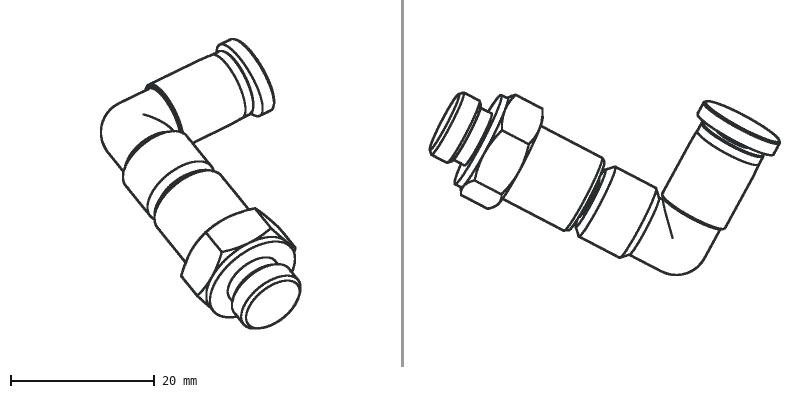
import cadquery as cq
import math


arm_dia = 9.0
collar_dia = 11.0
collar_start = 5.05
collar_end = 13.5
collar_chamfer = (collar_dia - arm_dia) / 2
stem_dia = 5.0
stem_end = 13.7

socket_dia = 10.0
socket_rim_dia = 9.7
socket_start = 5.0
socket_rim_height = 0.2
socket_straight_end = 13.4
socket_end = 15.4

guide_dia = 9.8
guide_end = 16.83
guide_chamfer = 0.13

button_neck_dia = 5.2
button_plate_start = 17.55
button_end = 19.6
button_length = 12.05
button_width = 9.8
button_chamfer = 0.2

boss_dia = 6.18
barrel_start = 14.2
barrel_dia = 11.5
barrel_chamfer_length = 0.55
barrel_nose_dia = 10.8
hex_start = 24.8
hex_end = 30.3
hex_flats = 14.0
hex_corners = hex_flats / math.cos(math.pi / 6)
hex_chamfer_angle = math.radians(30)
flange_end = 31.25
relief_dia = 8.2
relief_end = 33.15
thread_dia = 9.8
thread_end_dia = 8.8
thread_chamfer = (thread_dia - thread_end_dia) / 2
stud_end = 36.57


def turned_along_x(stations):
    """Solid of revolution about X from (x, diameter) stations."""
    profile = [(x, dia / 2) for x, dia in stations]
    points = [(profile[0][0], 0)] + profile + [(profile[-1][0], 0)]
    return cq.Workplane("XY").polyline(points).close().revolve(360, (0, 0, 0), (1, 0, 0))


def disc_along_y(dia, start, end):
    """Cylinder on the Y axis between two Y positions."""
    return cq.Workplane("XZ", origin=(0, start, 0)).circle(dia / 2).extrude(start - end)


def make_socket():
    """Tube socket with a chamfered lower rim and a gently curved taper at its mouth."""
    taper_middle = (socket_straight_end + socket_end) / 2
    taper_radius = socket_dia / 2 - (socket_dia - guide_dia) / 8
    return (
        cq.Workplane("XY")
        .moveTo(0, socket_start)
        .lineTo(socket_rim_dia / 2, socket_start)
        .lineTo(socket_dia / 2, socket_start + socket_rim_height)
        .lineTo(socket_dia / 2, socket_straight_end)
        .threePointArc((taper_radius, taper_middle), (guide_dia / 2, socket_end))
        .lineTo(0, socket_end)
        .close()
        .revolve(360, (0, 0, 0), (0, 1, 0))
    )


def make_elbow():
    """Two mitred arms round a ball corner, with the collar, stem and tube socket."""
    corner = cq.Workplane("XY").sphere(arm_dia / 2)
    socket_arm = disc_along_y(arm_dia, 0, socket_start)
    stud_arm = turned_along_x([
        (0, arm_dia),
        (collar_start, arm_dia),
        (collar_start + collar_chamfer, collar_dia),
        (collar_end - collar_chamfer, collar_dia),
        (collar_end, arm_dia),
        (collar_end, stem_dia),
        (stem_end, stem_dia),
    ])
    return corner.union(socket_arm).union(stud_arm).union(make_socket())


def make_guide_ring():
    ring = disc_along_y(guide_dia, socket_end, guide_end)
    return ring.faces(">Y").chamfer(guide_chamfer)


def make_release_button():
    neck = disc_along_y(button_neck_dia, guide_end, button_plate_start)
    plate = (
        cq.Workplane("XZ", origin=(0, button_plate_start, 0))
        .ellipse(button_length / 2, button_width / 2)
        .extrude(button_plate_start - button_end)
        .faces(">Y")
        .chamfer(button_chamfer)
    )
    return plate.union(neck)


def make_hexagon():
    """Hexagon with corners on +Y and -Y, its corners coned off at both ends."""
    hexagon = (
        cq.Workplane("YZ", origin=(hex_start, 0, 0))
        .polygon(6, hex_corners)
        .extrude(hex_end - hex_start)
    )
    corner_depth = (hex_corners - hex_flats) / 2 * math.tan(hex_chamfer_angle)
    envelope = turned_along_x([
        (hex_start, hex_flats),
        (hex_start + corner_depth, hex_corners),
        (hex_end - corner_depth, hex_corners),
        (hex_end, hex_flats),
    ])
    return hexagon.intersect(envelope)


def make_stud():
    """Threaded stud with its bearing boss, barrel, hexagon, flange and thread relief."""
    turned = turned_along_x([
        (stem_end, boss_dia),
        (barrel_start, boss_dia),
        (barrel_start, barrel_nose_dia),
        (barrel_start + barrel_chamfer_length, barrel_dia),
        (hex_start, barrel_dia),
        (hex_end, barrel_dia),
        (hex_end, hex_flats),
        (flange_end, hex_flats),
        (flange_end, relief_dia),
        (relief_end, relief_dia),
        (relief_end, thread_end_dia),
        (relief_end + thread_chamfer, thread_dia),
        (stud_end - thread_chamfer, thread_dia),
        (stud_end, thread_end_dia),
    ])
    return turned.union(make_hexagon())


elbow = make_elbow()
guide_ring = make_guide_ring()
release_button = make_release_button()
stud = make_stud()

result = cq.Compound.makeCompound([
    elbow.val(),
    guide_ring.val(),
    release_button.val(),
    stud.val(),
])